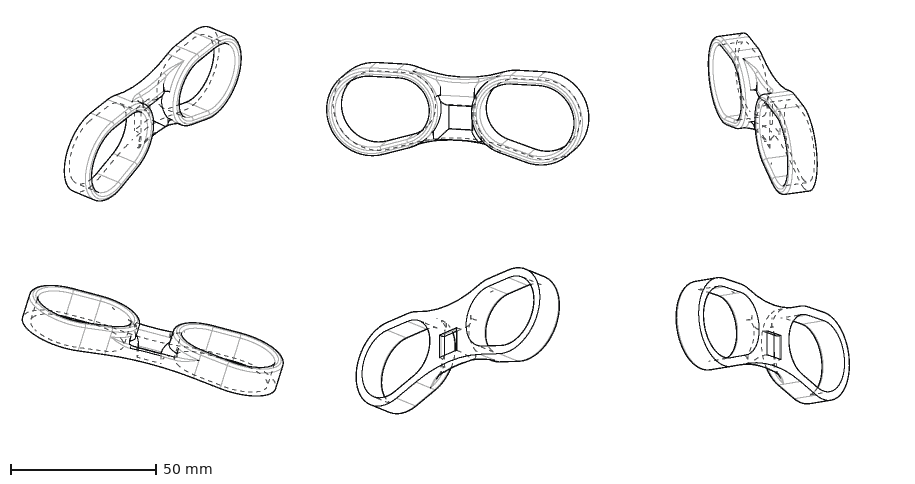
import cadquery as cq
import math

plate_thickness = 5.0
total_depth = 10.0
wall = 3.0

outer_center_y = 30.0
outer_radius = 15.5
inner_center_y = 20.0
inner_radius = 14.0

waist_top_radius = 45.0
square_side = 8.5
square_center_z = -2.2
flare_radius = 4.25
rim_round = 1.0
waist_rim_round = 1.0
root_fillet = 2.0
selection_margin = 0.1

inner_center_z = outer_radius - inner_radius
lower_tilt = 2 * math.atan2(inner_center_z, outer_center_y - inner_center_y)
half_gap = inner_center_y - inner_radius

center_distance = inner_radius + waist_top_radius
waist_top_rise = math.sqrt(center_distance**2 - inner_center_y**2)
waist_top_z = inner_center_z + waist_top_rise - waist_top_radius
contact_share = inner_radius / center_distance
waist_top_end_y = inner_center_y * (1 - contact_share)
waist_top_end_z = inner_center_z + waist_top_rise * contact_share

waist_bottom_end_y = inner_center_y - inner_radius * math.sin(lower_tilt)
waist_bottom_end_z = inner_center_z - inner_radius * math.cos(lower_tilt)
waist_bottom_radius = waist_bottom_end_y / math.sin(lower_tilt)
waist_bottom_z = waist_bottom_end_z + waist_bottom_radius * (1 - math.cos(lower_tilt))


def lobe(inset, side):
    """Full-depth solid of one lobe, shrunk by inset; side is +1 or -1 along Y."""
    r_out = outer_radius - inset
    r_in = inner_radius - inset
    sin_t = math.sin(lower_tilt)
    cos_t = math.cos(lower_tilt)
    return (
        cq.Workplane("YZ")
        .moveTo(side * inner_center_y, inner_center_z + r_in)
        .lineTo(side * outer_center_y, r_out)
        .threePointArc(
            (side * (outer_center_y + r_out), 0),
            (side * (outer_center_y - r_out * sin_t), -r_out * cos_t),
        )
        .lineTo(side * (inner_center_y - r_in * sin_t), inner_center_z - r_in * cos_t)
        .threePointArc(
            (side * (inner_center_y - r_in), inner_center_z),
            (side * inner_center_y, inner_center_z + r_in),
        )
        .close()
        .extrude(total_depth)
    )


def waist(depth):
    """Waist between the lobe circle centres, bounded by arcs tangent to the lobes."""
    return (
        cq.Workplane("YZ")
        .moveTo(-waist_top_end_y, waist_top_end_z)
        .threePointArc((0, waist_top_z), (waist_top_end_y, waist_top_end_z))
        .lineTo(inner_center_y, inner_center_z)
        .lineTo(waist_bottom_end_y, waist_bottom_end_z)
        .threePointArc((0, waist_bottom_z), (-waist_bottom_end_y, waist_bottom_end_z))
        .lineTo(-inner_center_y, inner_center_z)
        .close()
        .extrude(depth)
    )


def root_disc(side):
    """Disc on an inner lobe circle with a concave fillet running down to the waist face."""
    top = plate_thickness + root_fillet
    foot = inner_radius + root_fillet
    bend = root_fillet * (1 - math.sqrt(0.5))
    return (
        cq.Workplane("XY")
        .lineTo(top, 0)
        .lineTo(top, inner_radius)
        .threePointArc((plate_thickness + bend, inner_radius + bend), (plate_thickness, foot))
        .lineTo(0, foot)
        .close()
        .revolve(360, (0, 0, 0), (1, 0, 0))
        .translate((0, side * inner_center_y, inner_center_z))
    )


def waist_with_roots():
    """Waist plate with root fillets up to both lobes, kept flat in the gap between them."""
    roots = root_disc(1).union(root_disc(-1)).intersect(waist(total_depth))
    gap = cq.Workplane("XY").box(
        total_depth, 2 * half_gap, 2 * outer_radius, centered=(False, True, True)
    )
    return waist(plate_thickness).union(roots).cut(gap.translate((plate_thickness, 0, 0)))


def round_waist_rims(body):
    """Round the upper and lower rims of the waist face, also where they climb the roots."""
    face_x = plate_thickness - selection_margin
    upper_rim = cq.selectors.BoxSelector(
        (face_x, -inner_center_y, waist_top_z - selection_margin),
        (total_depth, inner_center_y, outer_radius),
    )
    lower_rim = cq.selectors.BoxSelector(
        (face_x, -inner_center_y, -outer_radius),
        (total_depth, inner_center_y, waist_bottom_z + selection_margin),
    )
    return body.edges(upper_rim + lower_rim).fillet(waist_rim_round)


def flared_slab(plane):
    """Slab along X: as wide as the square hole, then flaring out to the waist face."""
    half = square_side / 2
    mouth = half + flare_radius
    flare_start = plate_thickness - flare_radius
    bend = flare_radius * math.sqrt(0.5)
    return (
        cq.Workplane(plane)
        .moveTo(0, half)
        .lineTo(flare_start, half)
        .threePointArc((flare_start + bend, mouth - bend), (plate_thickness, mouth))
        .lineTo(total_depth, mouth)
        .lineTo(total_depth, -mouth)
        .lineTo(plate_thickness, -mouth)
        .threePointArc((flare_start + bend, bend - mouth), (flare_start, -half))
        .lineTo(0, -half)
        .close()
        .extrude(mouth, both=True)
    )


def flared_hole():
    """Square hole whose four walls curve outward toward the waist face."""
    hole = flared_slab("XY").intersect(flared_slab("XZ"))
    return hole.translate((0, 0, square_center_z))


body = round_waist_rims(waist_with_roots()).cut(flared_hole())
for side in (1, -1):
    body = body.union(lobe(0, side))
for side in (1, -1):
    body = body.cut(lobe(wall, side))

result = body.faces(">X").edges().fillet(rim_round)